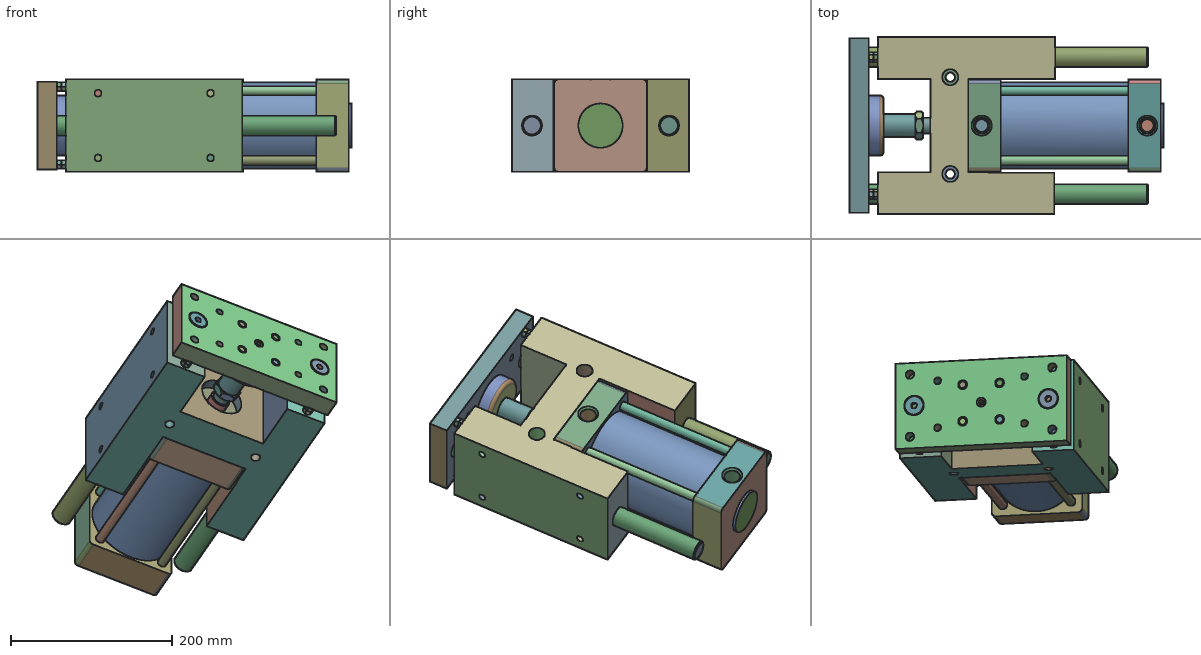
import cadquery as cq
import math


OVERLAP = 0.5

total_length = 390.0
plate_thickness = 24.0
housing_front = 35.5
web_front = 100.5
web_rear = 148.0
left_arm_rear = 255.5
right_arm_rear = 254.3
cap_length = 40.0
rear_boss_length = 3.5
front_cap_rear = web_rear + cap_length
rear_cap_rear = total_length - rear_boss_length
rear_cap_front = rear_cap_rear - cap_length

plate_width = 217.0
plate_height = 109.2
corner_hole_diameter = 10.5
corner_hole_depth = 19.5
corner_hole_y = 90.0
corner_hole_z = 39.8
tooling_hole_diameter = 8.5
tooling_hole_y = 55.0
tooling_hole_z = 30.0
screw_offset = 23.5
screw_outer_diameter = 11.5
screw_head_diameter = 8.5
screw_groove_depth = 0.5
center_hole_diameter = 6.0
center_hole_depth = 11.7
center_recess_diameter = 11.5
center_recess_depth = 0.8

guide_diameter = 25.0
guide_y = 85.0
guide_rear = 371.0
guide_front_chamfer = 0.8
guide_rear_chamfer = 1.5
guide_center_hole_diameter = 7.5
guide_center_hole_depth = 6.0

flange_diameter = 75.0
flange_rear = 42.5
flange_fillet = 4.5
coupling_diameter = 29.0
nut_front = 81.5
nut_thickness = 10.0
nut_across_flats = 30.5
thread_diameter = 20.0
piston_rod_front = 103.7
piston_rod_diameter = 25.0

housing_width = 220.0
housing_height = 115.0
pocket_half_width = 57.7
arm_relief_start = 173.0
arm_relief_depth = 0.8
rod_recess_diameter = 55.0
rod_recess_depth = 13.5
mount_hole_x = 125.0
mount_hole_y = 60.0
mount_hole_diameter = 11.5
mount_bore_diameter = 20.0
mount_bore_depth = 23.5
side_hole_x_positions = (75.3, 215.0)
side_hole_z = 40.0
side_hole_diameter = 8.5
side_hole_depth = 11.7

stop_z = 48.5
stop_across_flats = 11.0
stop_hex_count = 2
stop_hex_thickness = (housing_front - plate_thickness) / stop_hex_count

cap_size = 114.5
cap_fillet = 5.0
tube_diameter = 107.5
tie_rod_diameter = 11.5
tie_rod_offset = 43.3
rear_boss_diameter = 55.0
port_mouth_diameter = 25.0
port_diameter = 20.0
port_floor_diameter = 15.5
port_depth = 23.5
front_port_x = 164.0
rear_port_x = 369.7


def rod_x(diameter, start, end, y=0.0, z=0.0):
    """Cylinder along X from start to end."""
    return cq.Workplane("YZ", origin=(start, y, z)).circle(diameter / 2).extrude(end - start)


def box_x(start, end, y_low, y_high, height):
    """Box between two X and two Y positions, centred in Z."""
    center = ((start + end) / 2, (y_low + y_high) / 2, 0)
    return cq.Workplane("XY", origin=center).box(end - start, y_high - y_low, height)


def hex_nut(across_flats, start, thickness, y=0.0, z=0.0):
    """Hexagon along X with its flats facing up and down and its corners turned off at both ends."""
    across_corners = across_flats / math.cos(math.pi / 6)
    corner_chamfer = (across_corners - across_flats) / 2
    hexagon = cq.Workplane("YZ", origin=(start, y, z)).polygon(6, across_corners).extrude(thickness)
    turned = rod_x(across_corners, start, start + thickness, y, z)
    turned = turned.faces("<X or >X").chamfer(corner_chamfer)
    return hexagon.intersect(turned)


def four_corners(y, z):
    """The four points at plus and minus y and z."""
    return [(side * y, level * z) for side in (-1, 1) for level in (-1, 1)]


def drilled_plate():
    half_width = plate_width / 2
    plate = box_x(0, plate_thickness, -half_width, half_width, plate_height)
    for y, z in four_corners(corner_hole_y, corner_hole_z):
        plate = plate.cut(rod_x(corner_hole_diameter, 0, corner_hole_depth, y, z))
    for y, z in four_corners(tooling_hole_y, tooling_hole_z):
        plate = plate.cut(rod_x(tooling_hole_diameter, 0, plate_thickness, y, z))
    for y, z in four_corners(screw_offset, screw_offset):
        groove = rod_x(screw_outer_diameter, 0, screw_groove_depth, y, z)
        groove = groove.cut(rod_x(screw_head_diameter, 0, screw_groove_depth, y, z))
        plate = plate.cut(groove)
    plate = plate.cut(rod_x(center_recess_diameter, 0, center_recess_depth))
    return plate.cut(rod_x(center_hole_diameter, 0, center_hole_depth))


def guide_rod(y):
    rod = rod_x(guide_diameter, 0, guide_rear, y)
    rod = rod.faces("<X").chamfer(guide_front_chamfer)
    rod = rod.faces(">X").chamfer(guide_rear_chamfer)
    return rod.cut(rod_x(guide_center_hole_diameter, 0, guide_center_hole_depth, y))


def piston_rod():
    flange = rod_x(flange_diameter, plate_thickness - OVERLAP, flange_rear)
    flange = flange.faces(">X").edges().fillet(flange_fillet)
    coupling = rod_x(coupling_diameter, plate_thickness, nut_front + OVERLAP)
    nut = hex_nut(nut_across_flats, nut_front, nut_thickness)
    thread = rod_x(thread_diameter, nut_front, piston_rod_front + OVERLAP)
    rod = rod_x(piston_rod_diameter, piston_rod_front, front_cap_rear)
    return flange.union(coupling).union(nut).union(thread).union(rod)


def moving_body():
    body = drilled_plate()
    for side in (-1, 1):
        body = body.cut(rod_x(guide_diameter, 0, plate_thickness, side * guide_y))
        body = body.union(guide_rod(side * guide_y))
    return body.union(piston_rod())


def housing_block():
    half_width = housing_width / 2
    left_arm = box_x(housing_front, left_arm_rear, pocket_half_width, half_width, housing_height)
    right_arm = box_x(housing_front, right_arm_rear, -half_width, -pocket_half_width, housing_height)
    web = box_x(web_front, web_rear, -half_width, half_width, housing_height)
    relief_wall = -pocket_half_width - arm_relief_depth
    relief = box_x(arm_relief_start, right_arm_rear, relief_wall, -pocket_half_width, housing_height)
    return web.union(left_arm).union(right_arm.cut(relief))


def mount_holes():
    top = cq.Workplane("XY", origin=(mount_hole_x, 0, housing_height / 2))
    places = [(0, -mount_hole_y), (0, mount_hole_y)]
    through = top.pushPoints(places).circle(mount_hole_diameter / 2).extrude(-housing_height)
    bores = top.pushPoints(places).circle(mount_bore_diameter / 2).extrude(-mount_bore_depth)
    return through.union(bores)


def side_holes(side):
    """Blind holes in the outer face of one arm; side is -1 or 1."""
    places = [(x, z) for x in side_hole_x_positions for z in (-side_hole_z, side_hole_z)]
    face = cq.Workplane("XZ", origin=(0, side * housing_width / 2, 0))
    return face.pushPoints(places).circle(side_hole_diameter / 2).extrude(side * side_hole_depth)


def stop_screw(y, z):
    screw = rod_x(stop_across_flats / 2, plate_thickness, housing_front + OVERLAP, y, z)
    for index in range(stop_hex_count):
        start = plate_thickness + index * stop_hex_thickness
        screw = screw.union(hex_nut(stop_across_flats, start, stop_hex_thickness, y, z))
    return screw


def end_cap(start):
    half_size = cap_size / 2
    cap = box_x(start, start + cap_length, -half_size, half_size, cap_size)
    return cap.edges("|X").fillet(cap_fillet)


def port(x):
    """Port cutter, entering from the top: a 45 degree mouth and a slightly tapered bore."""
    mouth_depth = (port_mouth_diameter - port_diameter) / 2
    return (
        cq.Workplane("XZ", origin=(x, 0, cap_size / 2))
        .polyline([
            (0, 0),
            (port_mouth_diameter / 2, 0),
            (port_diameter / 2, -mouth_depth),
            (port_floor_diameter / 2, -port_depth),
            (0, -port_depth),
        ])
        .close()
        .revolve(360, (0, 0, 0), (0, 1, 0))
    )


def cylinder():
    tube_start = front_cap_rear - OVERLAP
    tube_end = rear_cap_front + OVERLAP
    body = end_cap(web_rear).union(end_cap(rear_cap_front))
    body = body.union(rod_x(tube_diameter, tube_start, tube_end))
    for y, z in four_corners(tie_rod_offset, tie_rod_offset):
        body = body.union(rod_x(tie_rod_diameter, tube_start, tube_end, y, z))
    body = body.union(rod_x(rear_boss_diameter, rear_cap_rear - OVERLAP, total_length))
    for x in (front_port_x, rear_port_x):
        body = body.cut(port(x))
    return body


def fixed_body():
    body = housing_block().union(cylinder())
    body = body.cut(mount_holes())
    body = body.cut(rod_x(rod_recess_diameter, web_front, web_front + rod_recess_depth))
    body = body.cut(rod_x(piston_rod_diameter, web_front, front_cap_rear))
    for side in (-1, 1):
        body = body.cut(side_holes(side))
        body = body.cut(rod_x(guide_diameter, housing_front, left_arm_rear, side * guide_y))
    for y, z in four_corners(guide_y, stop_z):
        body = body.union(stop_screw(y, z))
    return body


moving = moving_body()
fixed = fixed_body()

result = cq.Compound.makeCompound([moving.val(), fixed.val()])